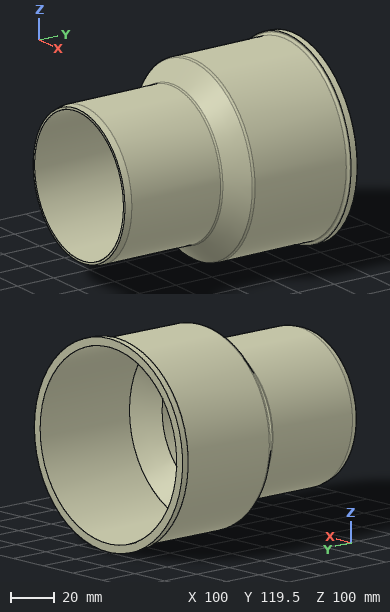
import cadquery as cq
import math

length = 119.5
collar_radius = 100.0 / 2
wide_radius = 96.2 / 2
wide_bore_radius = 92.0 / 2
narrow_radius = 75.2 / 2
narrow_bore_radius = 71.0 / 2

collar_width = 3.5
collar_fillet = 1.3
cone_start = 56.0
cone_half_angle = math.radians(45)
wide_edge_round = 1.8
narrow_edge_round = 1.4
lead_in_length = 3.2
lead_in_angle = math.radians(15)

front_y = -length / 2
back_y = length / 2
collar_y = back_y - collar_width
cone_wide_y = back_y - cone_start
cone_narrow_y = cone_wide_y - (wide_radius - narrow_radius) / math.tan(cone_half_angle)
lead_in_y = front_y + lead_in_length
lead_in_radius = narrow_radius - lead_in_length * math.tan(lead_in_angle)

wall = wide_radius - wide_bore_radius
bore_shift = wall * math.tan(cone_half_angle / 2)
bore_wide_y = cone_wide_y + bore_shift
bore_narrow_y = bore_wide_y - (wide_bore_radius - narrow_bore_radius) / math.tan(cone_half_angle)


def revolve_about_y(points):
    """Revolve a closed (radius, y) outline about the Y axis."""
    return cq.Workplane("XY").polyline(points).close().revolve(360, (0, 0, 0), (0, 1, 0))


def round_circle_at(body, y, radius, round_radius):
    """Round the circular edge of the given radius that lies at height y."""
    tolerance = 0.01
    reach = radius + tolerance
    edge = cq.selectors.BoxSelector(
        (-reach, y - tolerance, -reach), (reach, y + tolerance, reach), boundingbox=True
    )
    return body.edges(edge).edges(cq.selectors.RadiusNthSelector(-1)).fillet(round_radius)


outer = revolve_about_y([
    (0, front_y),
    (lead_in_radius, front_y),
    (narrow_radius, lead_in_y),
    (narrow_radius, cone_narrow_y),
    (wide_radius, cone_wide_y),
    (wide_radius, collar_y),
    (collar_radius, collar_y),
    (collar_radius, back_y),
    (0, back_y),
])
outer = round_circle_at(outer, collar_y, wide_radius, collar_fillet)
outer = round_circle_at(outer, cone_wide_y, wide_radius, wide_edge_round)
outer = round_circle_at(outer, cone_narrow_y, narrow_radius, narrow_edge_round)

bore = revolve_about_y([
    (0, front_y),
    (narrow_bore_radius, front_y),
    (narrow_bore_radius, bore_narrow_y),
    (wide_bore_radius, bore_wide_y),
    (wide_bore_radius, back_y),
    (0, back_y),
])

result = outer.cut(bore)